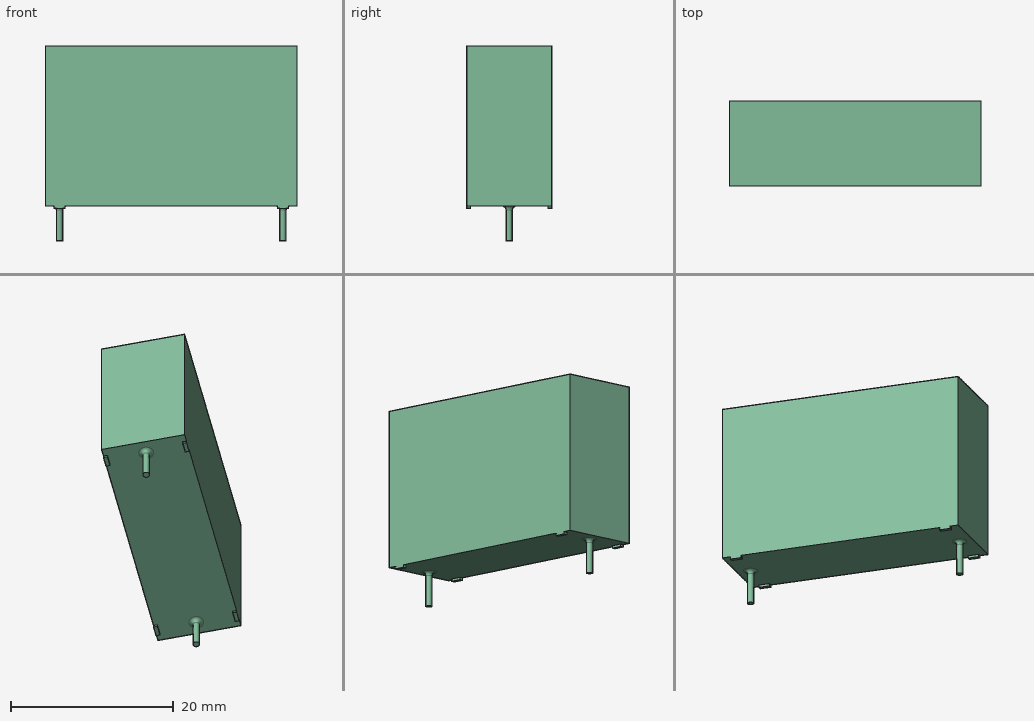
import cadquery as cq

length = 31.0
width = 10.5
total_height = 24.0

foot_length = 1.4
foot_width = 0.5
foot_height = 0.3

lead_pitch = 27.5
lead_diameter = 0.8
lead_length_below_feet = 4.0
root_fillet = 0.5

case_bottom = foot_height
case_height = total_height - lead_length_below_feet - foot_height
side_signs = (-1, 1)


def make_case():
    """Plain rectangular case standing above the feet."""
    return cq.Workplane("XY", origin=(0, 0, case_bottom)).box(
        length, width, case_height, centered=(True, True, False)
    )


def make_feet():
    """Four pads, in line with the leads and flush with the long faces."""
    foot_y = (width - foot_width) / 2
    centers = [(sx * lead_pitch / 2, sy * foot_y) for sx in side_signs for sy in side_signs]
    return cq.Workplane("XY").pushPoints(centers).rect(foot_length, foot_width).extrude(foot_height)


def make_lead(x):
    """Plain round lead at x, hanging from the underside of the case."""
    return (
        cq.Workplane("XY", origin=(x, 0, -lead_length_below_feet))
        .circle(lead_diameter / 2)
        .extrude(lead_length_below_feet + case_bottom)
    )


def make_root_fillet(x):
    """Concave collar blending the lead at x into the underside of the case."""
    lead_radius = lead_diameter / 2
    outer_radius = lead_radius + root_fillet
    fillet_bottom = case_bottom - root_fillet
    profile = (
        cq.Workplane("XZ", origin=(x, 0, 0))
        .moveTo(0, case_bottom)
        .lineTo(outer_radius, case_bottom)
        .radiusArc((lead_radius, fillet_bottom), -root_fillet)
        .lineTo(0, fillet_bottom)
        .close()
    )
    return profile.revolve(360, (0, 0, 0), (0, 1, 0))


result = make_case().union(make_feet())
for sign in side_signs:
    lead_x = sign * lead_pitch / 2
    result = result.union(make_lead(lead_x)).union(make_root_fillet(lead_x))